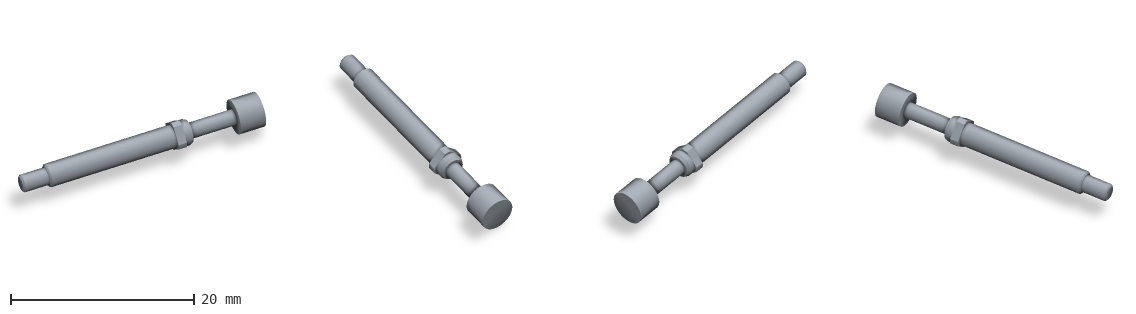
import cadquery as cq

total_length = 28.3

tip_length = 3.0
flange_start = 18.0
flange_thickness = 1.0
collar_length = 1.0
collar_shoulder_length = 0.4
head_length = 3.0

tip_diameter = 2.0
barrel_diameter = 2.65
collar_diameter = 3.0
collar_end_diameter = 2.63
stem_diameter = 1.8
head_diameter = 4.0

flange_across_flats = 3.03
flange_corner_diameter = 3.65

tip_chamfer = 0.2
barrel_chamfer = 0.2

flange_end = flange_start + flange_thickness
collar_end = flange_end + collar_length
head_start = total_length - head_length


def cylinder(diameter, start, end):
    """Round length of the pin between two distances from the tip end."""
    return cq.Workplane("XZ", origin=(0, start, 0)).circle(diameter / 2).extrude(start - end)


def make_tip():
    return cylinder(tip_diameter, 0, tip_length).faces("<Y").chamfer(tip_chamfer)


def make_barrel():
    return cylinder(barrel_diameter, tip_length, flange_start).faces("<Y").chamfer(barrel_chamfer)


def make_flange():
    square = (
        cq.Workplane("XZ", origin=(0, flange_start, 0))
        .transformed(rotate=(0, 0, 45))
        .rect(flange_across_flats, flange_across_flats)
        .extrude(-flange_thickness)
    )
    return square.intersect(cylinder(flange_corner_diameter, flange_start, flange_end))


def make_collar():
    """Short collar whose shoulder tapers down towards the stem."""
    collar = cylinder(collar_diameter, flange_end, collar_end)
    shoulder_setback = (collar_diameter - collar_end_diameter) / 2
    return collar.faces(">Y").chamfer(collar_shoulder_length, shoulder_setback)


def make_stem():
    return cylinder(stem_diameter, collar_end, head_start)


def make_head():
    return cylinder(head_diameter, head_start, total_length)


result = (
    make_tip()
    .union(make_barrel())
    .union(make_flange())
    .union(make_collar())
    .union(make_stem())
    .union(make_head())
)